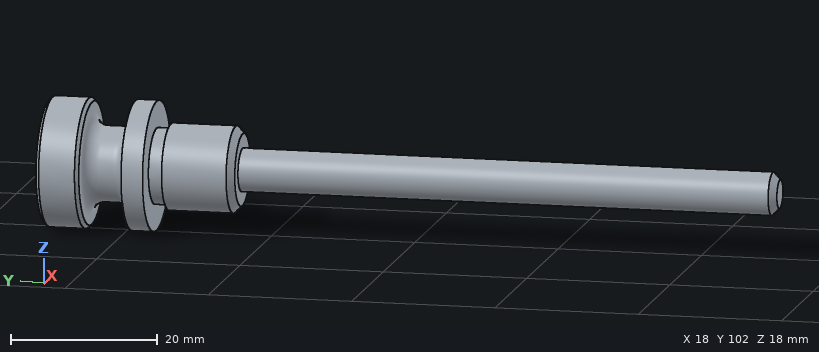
import cadquery as cq


head_diameter = 18.0
neck_diameter = 10.5
collar_diameter = 12.0
rod_diameter = 6.0

head_length = 6.0
neck_length = 6.0
flange_length = 3.0
relief_length = 2.0
collar_length = 10.0
total_length = 102.0

head_chamfer = 0.5
neck_fillet = 2.0
collar_chamfer = 1.0
rod_chamfer = 1.0

head_end = head_length
neck_end = head_end + neck_length
flange_end = neck_end + flange_length
relief_end = flange_end + relief_length
collar_end = relief_end + collar_length


def section(diameter, start, end):
    """Solid cylinder on the pin's axis between two stations."""
    return cq.Workplane("XZ", origin=(0, -start, 0)).circle(diameter / 2).extrude(end - start)


def make_head():
    """Head disc, chamfered around both rims."""
    return section(head_diameter, 0, head_end).edges().chamfer(head_chamfer)


def make_neck():
    """Neck between head and flange, flaring out to both through a concave fillet."""
    radius = neck_diameter / 2
    flare_radius = radius + neck_fillet
    arc_inset = neck_fillet * (1 - 0.5 ** 0.5)
    profile = (
        cq.Workplane("XY")
        .moveTo(0, -head_end)
        .lineTo(flare_radius, -head_end)
        .threePointArc((radius + arc_inset, -head_end - arc_inset), (radius, -head_end - neck_fillet))
        .lineTo(radius, -neck_end + neck_fillet)
        .threePointArc((radius + arc_inset, -neck_end + arc_inset), (flare_radius, -neck_end))
        .lineTo(0, -neck_end)
        .close()
    )
    return profile.revolve(360, (0, 0, 0), (0, 1, 0))


def make_collar():
    """Guide collar, chamfered on the rod side."""
    return section(collar_diameter, relief_end, collar_end).faces("<Y").chamfer(collar_chamfer)


def make_rod():
    """Long rod with a chamfered tip."""
    return section(rod_diameter, collar_end, total_length).faces("<Y").chamfer(rod_chamfer)


flange = section(head_diameter, neck_end, flange_end)
relief = section(neck_diameter, flange_end, relief_end)

result = make_head().union(make_neck()).union(flange).union(relief).union(make_collar()).union(make_rod())